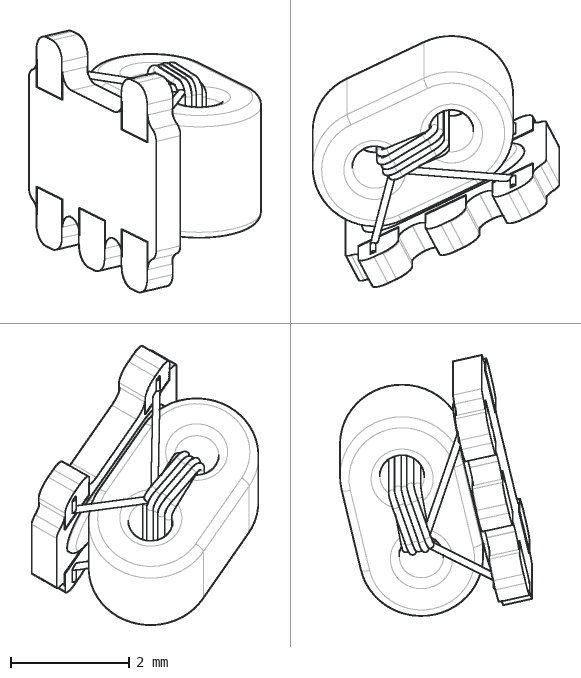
import cadquery as cq
import math


carrier_width = 3.80
carrier_height = 3.77
carrier_thickness = 0.50
body_half_height = 1.144
corner_radius = 0.20
tab_pitch = 1.27
tab_width = 0.765
tab_end_radius = 0.30
tab_root_radius = 0.25
plating_length = 0.985
plating_thickness = 0.015

core_center_x = 0.04
core_end_radius = 1.05
core_height = 2.20
core_edge_radius = 0.15
hole_spacing = 1.45
hole_diameter = 0.75
glue_thickness = 0.115
core_center_y = glue_thickness + core_end_radius

glue_length = 3.06
glue_height = 1.39
glue_edge_radius = 0.10

wire_radius = 0.06
row_pitch = 0.109
row_half_spans = [0.515, 0.56, 0.53, 0.56, 0.515]
turn_half_height = 1.298
turn_corner_radius = 0.20
hook_corner_radius = 0.15
hook_reach = 0.33
hook_rise = 0.044
lead_clearance = 0.005
lead_z = core_height / 2 + wire_radius + lead_clearance
right_lead_start_x = 0.51
lead_foot_y = -0.01
lead_end_z = 1.654
left_foot_x = -1.28
right_foot_x = 1.37

tab_tip_z = carrier_height / 2
tab_root_z = body_half_height + tab_root_radius


def make_tab_half(center_x):
    """Right half of a top tab whose root flares into the body through an arc."""
    side_x = center_x + tab_width / 2
    return (
        cq.Workplane("XZ")
        .moveTo(center_x, body_half_height)
        .lineTo(side_x + tab_root_radius, body_half_height)
        .radiusArc((side_x, tab_root_z), tab_root_radius)
        .lineTo(side_x, tab_tip_z - tab_end_radius)
        .radiusArc((side_x - tab_end_radius, tab_tip_z), -tab_end_radius)
        .lineTo(center_x, tab_tip_z)
        .close()
        .extrude(carrier_thickness)
    )


def make_carrier_quarter():
    """Upper right quarter: half the body, one tab, and the rounded corner that runs into the tab root."""
    inner_x = tab_pitch - tab_width / 2
    outer_x = tab_pitch + tab_width / 2
    edge_x = carrier_width / 2

    corner_x = edge_x - corner_radius
    root_x = outer_x + tab_root_radius
    center_distance = corner_radius + tab_root_radius
    corner_z = tab_root_z - math.sqrt(center_distance**2 - (root_x - corner_x) ** 2)
    blend = corner_radius / center_distance
    blend_point = (corner_x + blend * (root_x - corner_x), corner_z + blend * (tab_root_z - corner_z))

    return (
        cq.Workplane("XZ")
        .moveTo(0, 0)
        .lineTo(0, body_half_height)
        .lineTo(inner_x - tab_root_radius, body_half_height)
        .radiusArc((inner_x, tab_root_z), -tab_root_radius)
        .lineTo(inner_x, tab_tip_z - tab_end_radius)
        .radiusArc((inner_x + tab_end_radius, tab_tip_z), tab_end_radius)
        .lineTo(outer_x - tab_end_radius, tab_tip_z)
        .radiusArc((outer_x, tab_tip_z - tab_end_radius), tab_end_radius)
        .lineTo(outer_x, tab_root_z)
        .radiusArc(blend_point, -tab_root_radius)
        .radiusArc((edge_x, corner_z), corner_radius)
        .lineTo(edge_x, 0)
        .close()
        .extrude(carrier_thickness)
    )


def make_plating(center_x, side):
    """Plated tab end, slightly proud of both carrier faces; side is +1 at the top and -1 at the bottom."""
    tip = ">Z" if side > 0 else "<Z"
    return (
        cq.Workplane("XZ", origin=(center_x, plating_thickness, side * (tab_tip_z - plating_length / 2)))
        .rect(tab_width, plating_length)
        .extrude(carrier_thickness + 2 * plating_thickness)
        .faces(tip)
        .edges("|Y")
        .fillet(tab_end_radius)
    )


def make_carrier():
    right_top = make_carrier_quarter()
    top = right_top.union(right_top.mirror("YZ"))
    carrier = top.union(top.mirror("XY"))

    middle_tab_half = make_tab_half(0).mirror("XY")
    carrier = carrier.union(middle_tab_half).union(middle_tab_half.mirror("YZ"))

    for center_x, side in [(-tab_pitch, 1), (tab_pitch, 1), (-tab_pitch, -1), (0, -1), (tab_pitch, -1)]:
        carrier = carrier.union(make_plating(center_x, side))
    return carrier


def make_core():
    core = (
        cq.Workplane("XY", origin=(core_center_x, core_center_y, -core_height / 2))
        .slot2D(hole_spacing + 2 * core_end_radius, 2 * core_end_radius)
        .extrude(core_height)
        .faces(">Z")
        .workplane()
        .pushPoints([(-hole_spacing / 2, 0), (hole_spacing / 2, 0)])
        .hole(hole_diameter)
    )
    return core.faces("<Z or >Z").edges().fillet(core_edge_radius)


def make_glue():
    return (
        cq.Workplane("XZ", origin=(core_center_x, 0, 0))
        .slot2D(glue_length, glue_height)
        .extrude(-glue_thickness)
        .faces(">Y")
        .edges()
        .fillet(glue_edge_radius)
    )


def row_y(row):
    middle_row = (len(row_half_spans) - 1) / 2
    return core_center_y + (middle_row - row) * row_pitch


def make_wire(start, end):
    """Straight round wire between two points, with ball ends so that bends close up."""
    direction = cq.Vector(*end) - cq.Vector(*start)
    wire = cq.Workplane(cq.Solid.makeCylinder(wire_radius, direction.Length, cq.Vector(*start), direction))
    for point in (start, end):
        wire = wire.union(cq.Workplane("XY", origin=point).sphere(wire_radius))
    return wire


def make_turn_half(row):
    """Upper half of one turn, slanting from the left end of a row to the right end of the next row."""
    left = cq.Vector(core_center_x - row_half_spans[row], row_y(row), 0)
    right = cq.Vector(core_center_x + row_half_spans[row + 1], row_y(row + 1), 0)
    span = (right - left).Length
    turn_plane = cq.Plane(origin=left, xDir=right - left, normal=(right - left).cross(cq.Vector(0, 0, 1)))
    shoulder = turn_half_height - turn_corner_radius
    path = (
        cq.Workplane(turn_plane)
        .lineTo(0, shoulder)
        .radiusArc((turn_corner_radius, turn_half_height), turn_corner_radius)
        .lineTo(span - turn_corner_radius, turn_half_height)
        .radiusArc((span, shoulder), turn_corner_radius)
        .lineTo(span, 0)
    )
    return cq.Workplane("XY", origin=left.toTuple()).circle(wire_radius).sweep(path)


def hook_end_point():
    return (core_center_x + hook_reach, row_y(len(row_half_spans) - 1) + hook_rise, lead_z)


def make_hook_half():
    """Wire up the left end of the row nearest the carrier, bent over to lie on the core under the turns."""
    last_row = len(row_half_spans) - 1
    foot = cq.Vector(core_center_x - row_half_spans[last_row], row_y(last_row), 0)
    end = cq.Vector(*hook_end_point())
    along = cq.Vector(end.x - foot.x, end.y - foot.y, 0)
    hook_plane = cq.Plane(origin=foot, xDir=along, normal=along.cross(cq.Vector(0, 0, 1)))
    path = (
        cq.Workplane(hook_plane)
        .lineTo(0, lead_z - hook_corner_radius)
        .radiusArc((hook_corner_radius, lead_z), hook_corner_radius)
        .lineTo(along.Length, lead_z)
    )
    return cq.Workplane("XY", origin=foot.toTuple()).circle(wire_radius).sweep(path)


def make_lead(start, foot_x):
    """Lead over the core's end face to the carrier, then bent outward along a tab."""
    foot = (foot_x, lead_foot_y, lead_z)
    bonded = cq.Workplane("XY", origin=foot).circle(wire_radius).extrude(lead_end_z - lead_z)
    return make_wire(start, foot).union(bonded)


def make_winding(carrier):
    half = make_turn_half(0)
    for row in range(1, len(row_half_spans) - 1):
        half = half.union(make_turn_half(row))

    hook = make_hook_half()
    core_axis_start = (core_center_x, core_center_y, 0)
    core_axis_end = (core_center_x, core_center_y, 1)
    half = half.union(hook).union(hook.rotate(core_axis_start, core_axis_end, 180))

    right_start = (core_center_x + right_lead_start_x, row_y(len(row_half_spans) - 1), lead_z)
    half = half.union(make_lead(hook_end_point(), left_foot_x))
    half = half.union(make_lead(right_start, right_foot_x))

    return half.union(half.mirror("XY")).cut(carrier)


carrier = make_carrier()
core = make_core()
glue = make_glue()
winding = make_winding(carrier)

result = cq.Compound.makeCompound([carrier.val(), core.val(), glue.val(), *winding.solids().vals()])